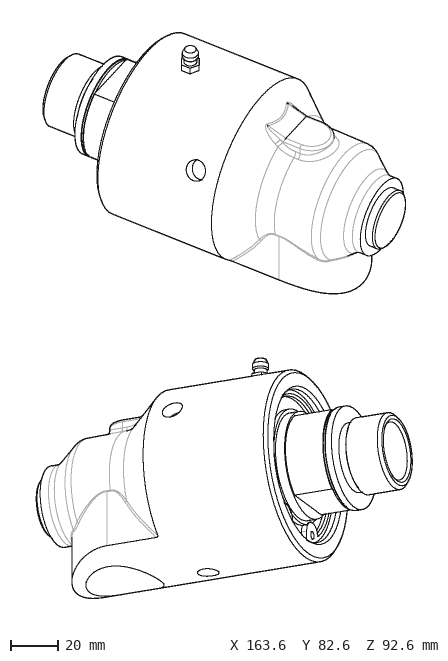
import cadquery as cq

total_length = 163.6
thread_radius = 16.6
tip_chamfer = 1.5
thread_end = 16.2
neck_radius = 15.0
neck_start = 17.0
flange_start = 20.3
flange_radius = 22.33
flange_groove_start = 23.4
flange_groove_end = 24.4
flange_groove_depth = 0.5
flat_height = 18.0
collar_radius = 23.2
bore_radius = 12.52
bore_depth = 98.2
bore_chamfer = 1.1

body_radius = 41.31
body_front = 41.9
body_chamfer = 1.5
cone_start = 99.8
cone_end = (114.5, 29.6)
stock_start = 91.6
cone_slope = (body_radius - cone_end[1]) / (cone_end[0] - cone_start)
stock_radius = cone_end[1] + cone_slope * (cone_end[0] - stock_start)
waist_start = (122.4, 27.08)
waist_end = (140.5, 26.7)
shoulder_start = (144.1, 25.0)
shoulder_end = (152.0, 19.1)
rear_radius = 17.59
rear_start = 155.5
rear_end = 159.3
plug_radius = 13.33
plug_chamfer = 0.8

mouth_radius = 34.0
mouth_bevel_radius = 33.0
mouth_bevel_end = 43.5
ledge_face = 45.8
ledge_radius = 31.4
floor_radius = 30.51
floor_face = 48.3
cover_radius = 24.9
cover_face = 46.1

ear_offset = 12.8
ear_height = -26.8
ear_radius = 5.7
ear_hole_radius = 1.6
ear_hole_depth = 4.9
notch_depth = 1.1

side_hole_x = 88.7
side_hole_radius = 4.5
side_hole_depth = 5.7
side_hole_angles = (30, 150, 270)

block_center = 124.0
block_half_width = 26.0
port_x = 127.8
port_radius = 16.6
port_depth = 19.6
block_fillet = 1.3

pad_top = 31.0
pad_center = 124.5
pad_radius = 9.5
pad_flat_start = 116.6
pad_ramp_start = (106.3, 34.7)
pad_foot = 19.6
pad_edge_fillet = 1.3
pad_foot_fillet = 2.5

nipple_x = 64.1
nipple_hex = 8.7
nipple_hex_top = 44.3
nipple_root = 1.6
nipple_neck_radius = 2.8
nipple_neck_top = 46.6
nipple_head_radius = 3.5
nipple_head_start = 47.3
nipple_head_end = 49.2
nipple_tip_radius = 2.5
nipple_top = 51.29


def turned(profile):
    """Close an XZ profile on the X axis and turn it about that axis, with the seam underneath."""
    solid = profile.close().revolve(360, (0, 0, 0), (1, 0, 0))
    return solid.rotate((0, 0, 0), (1, 0, 0), 180)


def tube(start, end, outer, inner=0):
    """Cylinder along X, hollow when an inner radius is given."""
    ring = cq.Workplane("YZ").workplane(offset=start).circle(outer)
    if inner:
        ring = ring.circle(inner)
    return ring.extrude(end - start)


def make_barrel():
    barrel = tube(body_front, cone_start, body_radius)
    return barrel.faces("<X").edges().chamfer(body_chamfer)


def make_rear_turning():
    """The tapered rear; its cone carries on forward of the barrel edge as stock to trim."""
    profile = (
        cq.Workplane("XZ")
        .moveTo(stock_start, 0)
        .lineTo(stock_start, stock_radius)
        .lineTo(*cone_end)
        .tangentArcPoint(waist_start, relative=False)
        .lineTo(*waist_end)
        .tangentArcPoint(shoulder_start, relative=False)
        .lineTo(*shoulder_end)
        .tangentArcPoint((rear_start, rear_radius), relative=False)
        .lineTo(rear_end, rear_radius)
        .lineTo(rear_end, 0)
    )
    return turned(profile)


def make_port_block():
    """Round-ended block hanging below the axis, left long for trimming to the barrel radius."""
    return (
        cq.Workplane("XY")
        .moveTo(stock_start, -block_half_width)
        .lineTo(block_center, -block_half_width)
        .threePointArc((block_center + block_half_width, 0), (block_center, block_half_width))
        .lineTo(stock_start, block_half_width)
        .close()
        .extrude(-stock_radius - 1.6)
    )


def make_plug():
    plug = tube(cone_start, total_length, plug_radius)
    return plug.faces(">X").edges().chamfer(plug_chamfer)


def make_pad():
    """Round-ended pad with a flat top that ramps up towards the cone."""
    side = (
        cq.Workplane("XZ")
        .moveTo(pad_ramp_start[0], pad_foot)
        .lineTo(*pad_ramp_start)
        .lineTo(pad_flat_start, pad_top)
        .lineTo(pad_center + pad_radius, pad_top)
        .lineTo(pad_center + pad_radius, pad_foot)
        .close()
        .extrude(pad_radius, both=True)
    )
    plan = (
        cq.Workplane("XY")
        .moveTo(pad_ramp_start[0], -pad_radius)
        .lineTo(pad_center, -pad_radius)
        .threePointArc((pad_center + pad_radius, 0), (pad_center, pad_radius))
        .lineTo(pad_ramp_start[0], pad_radius)
        .close()
        .extrude(body_radius)
    )
    pad = side.intersect(plan)
    rim = pad.edges("not |Y").filter(lambda e: e.Center().z > pad_top - pad_edge_fillet / 2)
    return rim.fillet(pad_edge_fillet)


def make_recess():
    profile = (
        cq.Workplane("XZ")
        .moveTo(body_front, 0)
        .lineTo(body_front, mouth_radius)
        .lineTo(mouth_bevel_end, mouth_bevel_radius)
        .lineTo(ledge_face, mouth_bevel_radius)
        .lineTo(ledge_face, ledge_radius)
        .lineTo(ledge_face + ledge_radius - floor_radius, floor_radius)
        .lineTo(floor_face, floor_radius)
        .lineTo(floor_face, cover_radius)
        .lineTo(cover_face, cover_radius)
        .lineTo(cover_face, 0)
    )
    return turned(profile)


def make_ears():
    """Two lobes standing on the recess floor, flush with the ledge."""
    height = floor_face - ledge_face
    ears = cq.Workplane("YZ").workplane(offset=ledge_face)
    centers = [(-ear_offset, ear_height), (ear_offset, ear_height)]
    lobes = ears.pushPoints(centers).circle(ear_radius).extrude(height)
    feet = [(y, ear_height - ear_radius / 2) for y, _ in centers]
    return lobes.union(ears.pushPoints(feet).rect(2 * ear_radius, ear_radius).extrude(height))


def make_shaft():
    profile = (
        cq.Workplane("XZ")
        .moveTo(0, 0)
        .lineTo(0, thread_radius - tip_chamfer)
        .lineTo(tip_chamfer, thread_radius)
        .lineTo(thread_end, thread_radius)
        .lineTo(neck_start, neck_radius)
        .lineTo(flange_start, neck_radius)
        .lineTo(flange_start, flange_radius)
        .lineTo(flange_groove_start, flange_radius)
        .lineTo(flange_groove_start, flange_radius - flange_groove_depth)
        .lineTo(flange_groove_end, flange_radius - flange_groove_depth)
        .lineTo(flange_groove_end, flange_radius)
        .lineTo(body_front, flange_radius)
        .lineTo(body_front, collar_radius)
        .lineTo(floor_face, collar_radius)
        .lineTo(floor_face, 0)
    )
    shaft = turned(profile)
    flat_length = body_front - flange_groove_end
    flat_middle = (flange_groove_end + body_front) / 2
    for side in (-1, 1):
        waste = cq.Workplane("XY").box(flat_length, 2 * flange_radius, flange_radius)
        waste = waste.translate((flat_middle, 0, side * (flat_height + flange_radius / 2)))
        shaft = shaft.cut(waste)
    return shaft


def make_nipple():
    """Grease nipple on a hexagon, rooted just below the barrel surface."""
    base = (
        cq.Workplane("XY")
        .workplane(offset=body_radius - nipple_root)
        .polygon(6, nipple_hex)
        .extrude(nipple_hex_top - body_radius + nipple_root)
    )
    head = (
        cq.Workplane("XZ")
        .moveTo(0, nipple_hex_top)
        .lineTo(nipple_neck_radius, nipple_hex_top)
        .lineTo(nipple_neck_radius, nipple_neck_top)
        .lineTo(nipple_head_radius, nipple_head_start)
        .lineTo(nipple_head_radius, nipple_head_end)
        .lineTo(nipple_tip_radius, nipple_top)
        .lineTo(0, nipple_top)
        .close()
        .revolve(360, (0, 0, 0), (0, 1, 0))
    )
    return base.union(head).translate((nipple_x, 0, 0))


def is_junction(edge):
    """True for the freeform edges where an added solid meets the turned housing."""
    return edge.geomType() in ("HYPERBOLA", "BSPLINE")


def make_side_hole(angle):
    """Blind radial hole in the YZ plane; the angle is measured from +Y towards +Z."""
    hole = cq.Workplane("XY").workplane(offset=body_radius - side_hole_depth)
    hole = hole.center(side_hole_x, 0).circle(side_hole_radius).extrude(2 * side_hole_depth)
    return hole.rotate((0, 0, 0), (1, 0, 0), angle - 90)


def make_bore():
    bore = tube(0, bore_depth, bore_radius)
    mouth = cq.Solid.makeCone(
        bore_radius + bore_chamfer, bore_radius, bore_chamfer, cq.Vector(0, 0, 0), cq.Vector(1, 0, 0)
    )
    return bore.union(cq.Workplane(mouth))


rear = make_rear_turning().union(make_port_block())
block_junction = rear.edges().filter(lambda e: is_junction(e) and e.Center().z < 0)
rear = block_junction.fillet(block_fillet)

rear = rear.union(make_pad())
pad_junction = rear.edges().filter(
    lambda e: is_junction(e) and e.Center().z > pad_foot and e.Center().x > pad_ramp_start[0] + 3.3
)
rear = pad_junction.fillet(pad_foot_fillet)

body = make_barrel().union(rear.intersect(tube(cone_start, rear_end, body_radius)))

body = body.union(make_plug())
port = cq.Workplane("XY").workplane(offset=-body_radius).center(port_x, 0)
body = body.cut(port.circle(port_radius).extrude(port_depth))
for hole_angle in side_hole_angles:
    body = body.cut(make_side_hole(hole_angle))

body = body.cut(make_recess())
body = body.union(make_ears().intersect(tube(ledge_face, floor_face, mouth_bevel_radius)))
notch_half_width = ear_offset - ear_radius
notch = (
    cq.Workplane("YZ")
    .workplane(offset=ledge_face)
    .center(0, -mouth_bevel_radius / 2)
    .rect(2 * notch_half_width, mouth_bevel_radius)
    .extrude(notch_depth)
)
body = body.cut(notch.intersect(tube(ledge_face, floor_face, mouth_bevel_radius, cover_radius)))
ear_holes = cq.Workplane("YZ").workplane(offset=ledge_face)
ear_holes = ear_holes.pushPoints([(-ear_offset, ear_height), (ear_offset, ear_height)])
body = body.cut(ear_holes.circle(ear_hole_radius).extrude(ear_hole_depth))

body = body.union(make_shaft()).cut(make_bore())
result = body.union(make_nipple())